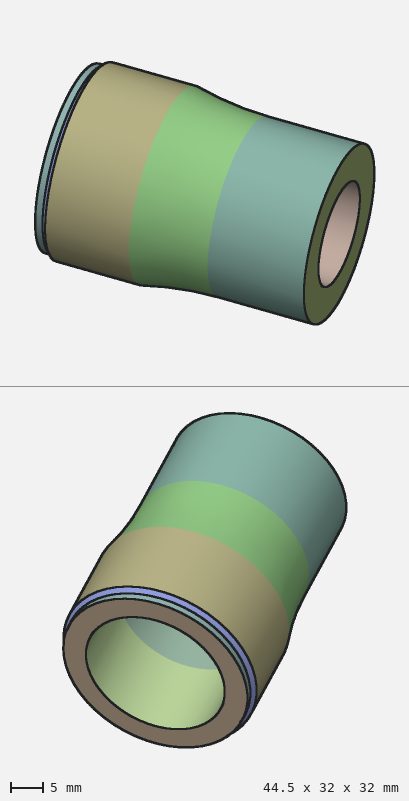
import cadquery as cq
import math

total_length = 44.5
collar_end = 1.25
bevel_end = 2.0
body_end = 16.0
neck_length = 12.5
spigot_start = body_end + neck_length
socket_depth = 14.0
shoulder_position = socket_depth + neck_length

collar_radius = 30.5 / 2
body_radius = 32.0 / 2
spigot_radius = 29.0 / 2

socket_radius = 23.0 / 2
wall_thickness = body_radius - socket_radius
throat_end_radius = spigot_radius - wall_thickness
bore_radius = 17.0 / 2


def neck_midpoint():
    """Middle of the concave neck arc, which runs tangent into the spigot."""
    neck_drop = body_radius - spigot_radius
    arc_radius = (neck_length**2 + neck_drop**2) / (2 * neck_drop)
    half_angle = math.asin(neck_length / arc_radius) / 2
    x = spigot_start - arc_radius * math.sin(half_angle)
    radius = spigot_radius + arc_radius * (1 - math.cos(half_angle))
    return x, radius


def revolve_about_x(half_section):
    """Turn a closed half section in the XY plane about the X axis."""
    return half_section.revolve(360, (0, 0, 0), (1, 0, 0))


def make_outer_body():
    """Collar, bevel, body, concave neck and spigot as one solid of revolution."""
    half_section = (
        cq.Workplane("XY")
        .lineTo(0, collar_radius)
        .lineTo(collar_end, collar_radius)
        .lineTo(bevel_end, body_radius)
        .lineTo(body_end, body_radius)
        .threePointArc(neck_midpoint(), (spigot_start, spigot_radius))
        .lineTo(total_length, spigot_radius)
        .lineTo(total_length, 0)
        .close()
    )
    return revolve_about_x(half_section)


def make_passage():
    """Straight socket, conical throat, flat shoulder and through bore."""
    half_section = (
        cq.Workplane("XY")
        .lineTo(0, socket_radius)
        .lineTo(socket_depth, socket_radius)
        .lineTo(shoulder_position, throat_end_radius)
        .lineTo(shoulder_position, bore_radius)
        .lineTo(total_length, bore_radius)
        .lineTo(total_length, 0)
        .close()
    )
    return revolve_about_x(half_section)


result = make_outer_body().cut(make_passage())